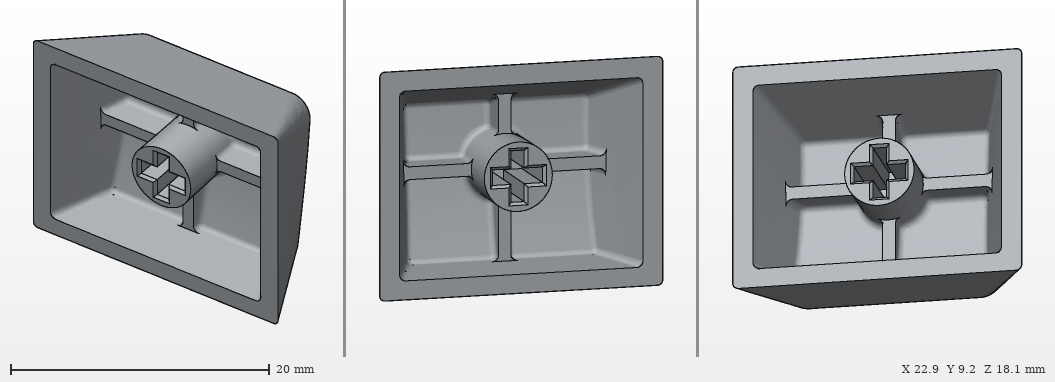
import cadquery as cq
import math

rim_width = 22.85
rim_height = 18.1
rim_corner = 0.43

crown_width = 16.41
crown_corner = 2.0
crown_upper_y = 9.83
crown_upper_z = 5.55
crown_lower_y = 7.45
crown_lower_z = -8.78

peak_y = 9.2
peak_z = 5.72
crown_radius = 47.1
crown_fillet = 0.4

wall = 1.5
crown_wall = 2.0
inner_fillet = 0.5

rib_width = 1.0
rib_front_y = 4.5
boss_front_y = 0.8
boss_radius = 2.75
boss_draft = 0.5

socket_length = 4.07
socket_bar_height = 1.23
socket_bar_width = 1.07
socket_chamfer = 0.23

edge_margin = 0.02

tilt_y = crown_upper_y - crown_lower_y
tilt_z = crown_upper_z - crown_lower_z
crown_length = math.hypot(tilt_y, tilt_z)
crown_tilt = math.atan2(tilt_y, tilt_z)
crown_mid_y = (crown_upper_y + crown_lower_y) / 2
crown_mid_z = (crown_upper_z + crown_lower_z) / 2
upper_lean = math.atan2(rim_height / 2 - crown_upper_z, crown_upper_y)
lower_lean = math.atan2(rim_height / 2 + crown_lower_z, crown_lower_y)
side_lean = math.atan2((rim_width - crown_width) / 2, crown_mid_y)

rim_plane = cq.Plane(origin=(0, 0, 0), xDir=(1, 0, 0), normal=(0, -1, 0))
crown_plane = cq.Plane(
    origin=(0, crown_mid_y, crown_mid_z),
    xDir=(1, 0, 0),
    normal=(0, -tilt_z, tilt_y),
)


def under_crown(radius):
    """Cylinder along X, concentric with the crown."""
    axis = cq.Workplane("YZ").center(peak_y - crown_radius, peak_z)
    return axis.circle(radius).extrude(rim_width, both=True)


def rounded_rectangle(plane, half_width, lower, upper, corner=0):
    """Wire on the plane, centred in X, from `lower` to `upper` along its second axis."""
    drawn = cq.Workplane(plane).center(0, (upper + lower) / 2).rect(2 * half_width, upper - lower)
    wire = drawn.val()
    if corner:
        wire = wire.fillet2D(corner, wire.Vertices())
    return wire


def outer_block():
    """Solid keycap: walls from the rim to the crown outline, topped by the rounded crown."""
    rim = rounded_rectangle(rim_plane, rim_width / 2, -rim_height / 2, rim_height / 2, rim_corner)
    half_length = crown_length / 2
    crown = rounded_rectangle(crown_plane, crown_width / 2, -half_length, half_length, crown_corner)
    loft = cq.Workplane(cq.Solid.makeLoft([rim, crown], True))
    return loft.intersect(under_crown(crown_radius)).faces(">Y").edges().fillet(crown_fillet)


def cavity():
    """Space inside the walls and crown, its outlines inset so that the walls keep their thickness."""
    side_inset = wall / math.cos(side_lean)
    opening = rounded_rectangle(
        rim_plane,
        rim_width / 2 - side_inset,
        -rim_height / 2 + wall / math.cos(lower_lean),
        rim_height / 2 - wall / math.cos(upper_lean),
    )
    far_end = rounded_rectangle(
        crown_plane,
        crown_width / 2 - side_inset,
        -crown_length / 2 + wall / math.cos(lower_lean + crown_tilt),
        crown_length / 2 - wall / math.cos(upper_lean - crown_tilt),
    )
    loft = cq.Workplane(cq.Solid.makeLoft([opening, far_end], True))
    return loft.intersect(under_crown(crown_radius - crown_wall))


def cross(front_y, length, bar_height, bar_width, height):
    """Two crossing bars that run from front_y into the crown."""
    depth = peak_y - front_y
    start = cq.Workplane("XZ", origin=(0, front_y, 0))
    along_x = start.rect(length, bar_height).extrude(-depth)
    along_z = start.rect(bar_width, height).extrude(-depth)
    return along_x.union(along_z)


def boss():
    """Stem boss, narrowing slightly from its front towards the crown."""
    start = cq.Workplane("XZ", origin=(0, boss_front_y, 0))
    return start.circle(boss_radius).extrude(boss_front_y - peak_y, taper=boss_draft)


def hollow():
    """Cavity less the ribs and boss, rounded wherever walls, floor, ribs and boss meet."""
    ribs = cross(rib_front_y, rim_width, rib_width, rib_width, rim_height)
    space = cavity().cut(ribs).cut(boss()).solids().val()
    inner_edges = [edge for edge in space.Edges() if edge.BoundingBox().ymax > rib_front_y + edge_margin]
    return cq.Workplane(space.fillet(inner_fillet, inner_edges))


def socket():
    """Cross that runs through the boss to the underside of the crown."""
    bars = cross(boss_front_y, socket_length, socket_bar_height, socket_bar_width, socket_length)
    return bars.intersect(under_crown(crown_radius - crown_wall))


boss_face = cq.selectors.BoxSelector(
    (-boss_radius, boss_front_y - edge_margin, -boss_radius),
    (boss_radius, boss_front_y + edge_margin, boss_radius),
)
keycap = outer_block().cut(hollow()).cut(socket())
result = keycap.edges(boss_face).edges("%LINE").chamfer(socket_chamfer)